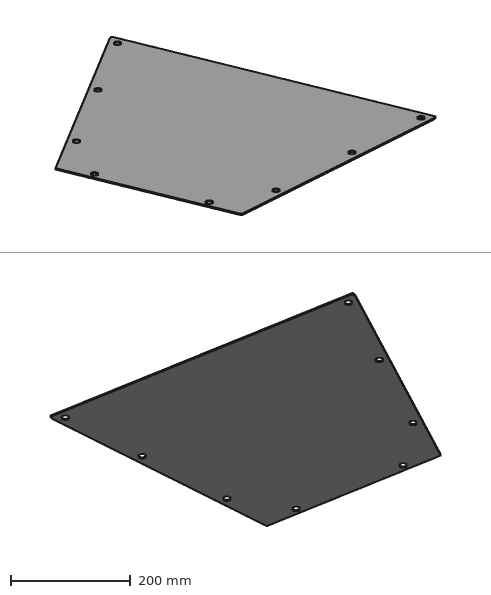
import cadquery as cq

back_width = 610.0
front_width = 350.5
depth = 454.5
thickness = 3.0
corner_flat = 8.0

hole_diameter = 13.0
side_hole_places = [(285.5, 16.0), (239.0, 177.0), (188.0, 354.0)]
front_hole_spacing = 216.0
front_hole_inset = 12.0

back_y = depth / 2
front_y = -depth / 2


def make_plate():
    """Flat trapezoid with its two wide corners squared off."""
    outline = [
        (-front_width / 2, front_y),
        (front_width / 2, front_y),
        (back_width / 2, back_y - corner_flat),
        (back_width / 2, back_y),
        (-back_width / 2, back_y),
        (-back_width / 2, back_y - corner_flat),
    ]
    return cq.Workplane("XY").polyline(outline).close().extrude(thickness)


def hole_centers():
    """Holes along both sloping sides and the narrow front edge, mirrored about X = 0."""
    half_pattern = [(x, back_y - inset) for x, inset in side_hole_places]
    half_pattern.append((front_hole_spacing / 2, front_y + front_hole_inset))
    return [(side * x, y) for side in (-1, 1) for x, y in half_pattern]


holes = cq.Workplane("XY").pushPoints(hole_centers()).circle(hole_diameter / 2).extrude(thickness)

result = make_plate().cut(holes)